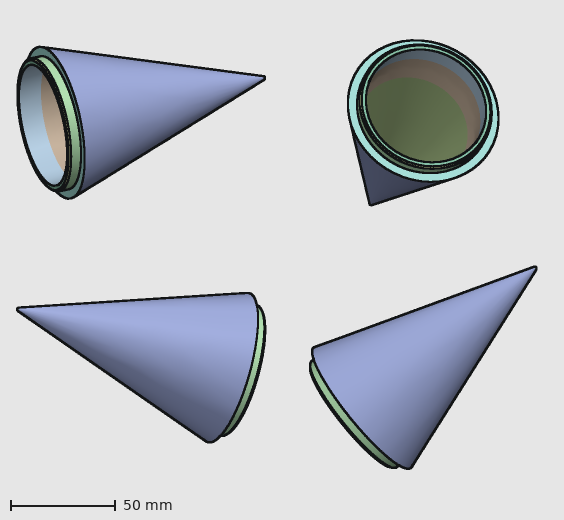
import cadquery as cq
import math

length = 115.0
base_radius = 37.0
tip_radius = 1.0

spigot_length = 6.0
spigot_radius = 65.0 / 2
spigot_chamfer = 0.9

tip_centre = length - tip_radius
tip_centre_height = tip_centre - spigot_length
cone_angle = (
    math.atan2(base_radius, tip_centre_height)
    - math.asin(tip_radius / math.hypot(base_radius, tip_centre_height))
)


def tip_point(angle):
    """Point on the tip sphere at the given angle above its equator."""
    return (tip_radius * math.cos(angle), tip_centre + tip_radius * math.sin(angle))


bore_radius = 59.0 / 2
bore_depth = 11.5
blend_radius = 50.0
inner_cone_radius = bore_radius - blend_radius * (1 - math.cos(cone_angle))
inner_cone_start = bore_depth + blend_radius * math.sin(cone_angle)
inner_apex = inner_cone_start + inner_cone_radius / math.tan(cone_angle)
blend_middle = (
    bore_radius - blend_radius * (1 - math.cos(cone_angle / 2)),
    bore_depth + blend_radius * math.sin(cone_angle / 2),
)

mouth = -length / 2


def revolve_about_axis(profile):
    """Revolve a closed (radius, distance from mouth) profile about the Y axis."""
    return profile.revolve(360, (0, 0, 0), (0, 1, 0))


profile_plane = cq.Workplane("XY", origin=(0, mouth, 0))

body = revolve_about_axis(
    profile_plane
    .lineTo(spigot_radius - spigot_chamfer, 0)
    .lineTo(spigot_radius, spigot_chamfer)
    .lineTo(spigot_radius, spigot_length)
    .lineTo(base_radius, spigot_length)
    .lineTo(*tip_point(cone_angle))
    .threePointArc(tip_point((cone_angle + math.pi / 2) / 2), (0, length))
    .close()
)

hollow = revolve_about_axis(
    profile_plane
    .lineTo(bore_radius, 0)
    .lineTo(bore_radius, bore_depth)
    .threePointArc(blend_middle, (inner_cone_radius, inner_cone_start))
    .lineTo(0, inner_apex)
    .close()
)

result = body.cut(hollow)